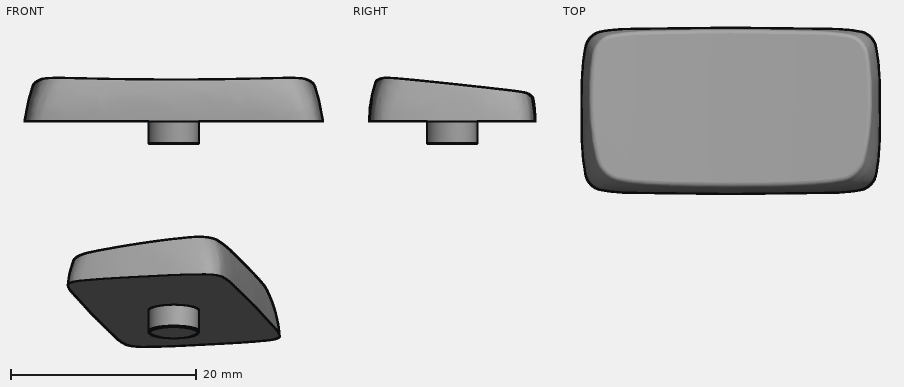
import cadquery as cq
import math

length = 32.27
width = 18.0
stem_height = 2.45
stem_diameter = 5.5
stem_chamfer = 0.13

dish_radius = 290.43
top_center_height = 3.68
top_slope = 6.2
rim_fillet = 0.5

base_section = (0.0, 0.0, 0.0, 0.35, 2.25)
middle_section = (2.58, 0.52, 0.25, 0.4, 2.75)
upper_section = (5.15, 1.4, 1.1, 0.5, 3.23)
corner_angles = (6, 25, 45, 65, 86)


def outline(height, end_inset, side_inset, bulge, corner_radius):
    """Rounded rectangle with bowed sides, made of two smooth halves that meet at X = 0."""
    half_x = length / 2 - end_inset
    half_y = width / 2 - side_inset
    center_x = half_x - bulge - corner_radius
    center_y = half_y - bulge - corner_radius
    corner = []
    for angle in corner_angles:
        x = center_x + corner_radius * math.cos(math.radians(angle))
        y = center_y + corner_radius * math.sin(math.radians(angle))
        corner.append((x, y))
    long_side = (half_x / 2, half_y - bulge / 4)
    quarter = corner + [long_side]
    back_quarter = quarter[::-1]
    front_quarter = [(x, -y) for x, y in quarter]
    right_half = [(0, half_y)] + back_quarter + [(half_x, 0)] + front_quarter + [(0, -half_y)]
    left_half = [(-x, -y) for x, y in right_half]
    return (
        cq.Workplane("XY", origin=(0, 0, height))
        .spline(right_half, tangents=[(1, 0), (-1, 0)])
        .spline(left_half, tangents=[(-1, 0), (1, 0)])
        .wire()
        .val()
    )


def make_cap():
    sections = [outline(*section) for section in (base_section, middle_section, upper_section)]
    body = cq.Workplane(obj=cq.Solid.makeLoft(sections))

    slope = math.radians(top_slope)
    axis = cq.Vector(0, math.cos(slope), -math.sin(slope))
    normal = cq.Vector(0, math.sin(slope), math.cos(slope))
    top_center = cq.Vector(0, 0, top_center_height)
    start = top_center + normal * dish_radius - axis * width
    dish = cq.Solid.makeCylinder(dish_radius, 2 * width, start, axis)

    return body.cut(cq.Workplane(obj=dish)).faces(">Z").edges().fillet(rim_fillet)


def make_stem():
    return (
        cq.Workplane("XY")
        .circle(stem_diameter / 2)
        .extrude(-stem_height)
        .faces("<Z")
        .chamfer(stem_chamfer)
    )


result = make_cap().union(make_stem())